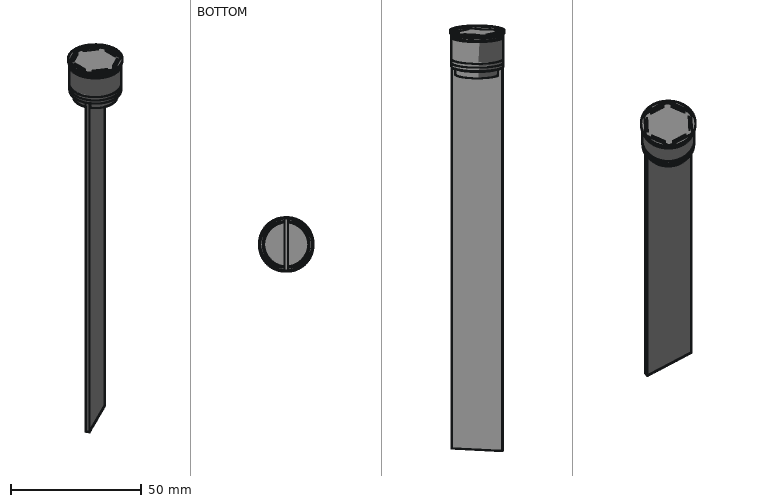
import cadquery as cq
import math

cap_radius = 10.0
cap_height = 14.0
flange_radius = 10.5
flange_rim_height = 0.6
flange_chamfer = flange_radius - cap_radius

groove_top = -2.0
groove_height = 0.5
groove_depth = 0.1

ridge_count = 2
ridge_top = -10.5
ridge_height = 1.0
ridge_pitch = 1.5
ridge_depth = 0.1

recess_depth = 1.0
recess_across_flats = 18.0
recess_corner_radius = 10.1
lug_across_flats = 16.0
web_thickness = 1.0

holder_radius = 8.5
holder_projection = 3.0
holder_flare = 0.5
holder_top = -(recess_depth + web_thickness)
holder_bottom = -(cap_height + holder_projection)

strip_thickness = 1.5
strip_width = 2 * cap_radius
strip_length = 150.0


def cylinder(radius, bottom, top):
    return cq.Workplane("XY").workplane(offset=bottom).circle(radius).extrude(top - bottom)


def hexagon(across_flats, bottom, top):
    """Hexagonal prism with two of its flats facing -X and +X."""
    across_corners = across_flats / math.cos(math.pi / 6)
    prism = cq.Workplane("XY").workplane(offset=bottom).polygon(6, across_corners).extrude(top - bottom)
    return prism.rotate((0, 0, 0), (0, 0, 1), 30)


def revolve_about_z(profile):
    return profile.close().revolve(360, (0, 0, 0), (0, 1, 0))


def v_band(profile, top, height, offset):
    """Continue the cap side down to a V-shaped band: a ridge, or a groove if offset is negative."""
    profile = profile.lineTo(cap_radius, top)
    profile = profile.lineTo(cap_radius + offset, top - height / 2)
    return profile.lineTo(cap_radius, top - height)


def make_cap_blank():
    profile = cq.Workplane("XZ").lineTo(flange_radius, 0)
    profile = profile.lineTo(flange_radius, -flange_rim_height)
    profile = profile.lineTo(cap_radius, -flange_rim_height - flange_chamfer)
    profile = v_band(profile, groove_top, groove_height, -groove_depth)
    for index in range(ridge_count):
        profile = v_band(profile, ridge_top - index * ridge_pitch, ridge_height, ridge_depth)
    profile = profile.lineTo(cap_radius, -cap_height).lineTo(0, -cap_height)
    return revolve_about_z(profile)


def make_recess():
    """Space removed from the cap top: a round-cornered hexagon without the six lugs."""
    recess = hexagon(recess_across_flats, -recess_depth, 0)
    recess = recess.intersect(cylinder(recess_corner_radius, -recess_depth, 0))
    lugs = cylinder(holder_radius, -recess_depth, 0).cut(hexagon(lug_across_flats, -recess_depth, 0))
    return recess.cut(lugs)


def make_cap():
    bore = cylinder(holder_radius, -cap_height, holder_top)
    return make_cap_blank().cut(make_recess()).cut(bore)


def make_strip():
    center_z = -cap_height - strip_length / 2
    return cq.Workplane("XY").box(strip_thickness, strip_width, strip_length).translate((0, 0, center_z))


def make_holder(strip):
    """Core with a small flare against the cap's underside and a slot for the strip."""
    profile = cq.Workplane("XZ").moveTo(0, holder_top).lineTo(holder_radius, holder_top)
    profile = profile.lineTo(holder_radius, -cap_height)
    profile = profile.lineTo(holder_radius + holder_flare, -cap_height)
    profile = profile.lineTo(holder_radius, -cap_height - holder_flare)
    profile = profile.lineTo(holder_radius, holder_bottom).lineTo(0, holder_bottom)
    return revolve_about_z(profile).cut(strip)


cap = make_cap()
strip = make_strip()
holder = make_holder(strip)

bodies = [cap, holder, strip]
result = cq.Compound.makeCompound([body.solids().val() for body in bodies])